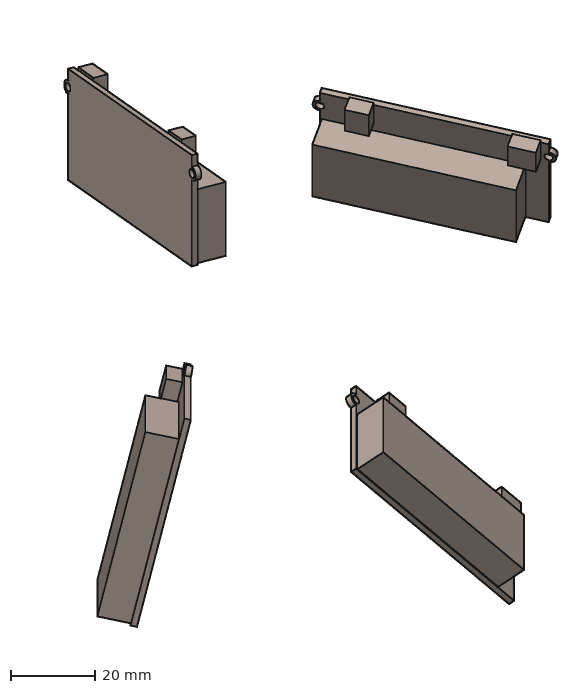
import cadquery as cq

board_width = 56.6
board_height = 29.2
board_thickness = 1.6

ear_diameter = 3.6
hole_diameter = 2.2
ear_drop = 4.83

housing_left_inset = 5.7
housing_right_inset = 0.5
housing_bottom_inset = 0.2
housing_height = 19.4
housing_depth = 8.2

connector_overhang = 0.8
connector_depth = 4.0
left_connector_width = 7.0
left_connector_height = 7.1
left_connector_inset = 2.0
right_connector_width = 6.0
right_connector_height = 7.8
right_connector_inset = 7.3

board_right = board_width / 2
board_left = -board_right
ear_z = board_height - ear_drop
connector_top = board_height + connector_overhang


def block(left, right, bottom, top, front, back):
    """Box between the given X, Z and Y limits."""
    return cq.Workplane("XY").box(
        right - left, back - front, top - bottom, centered=False
    ).translate((left, front, bottom))


def y_cylinder(diameter, x, z, front, back):
    """Cylinder along Y, centred at the given X and Z."""
    return (
        cq.Workplane("XZ", origin=(x, front, z))
        .circle(diameter / 2)
        .extrude(front - back)
    )


def make_board():
    """Board with two pierced ears, flush with both of its faces."""
    board = block(board_left, board_right, 0, board_height, -board_thickness, 0)
    for ear_x in (board_left, board_right):
        board = board.union(y_cylinder(ear_diameter, ear_x, ear_z, -board_thickness, 0))
        board = board.cut(y_cylinder(hole_diameter, ear_x, ear_z, -board_thickness, 0))
    return board


def make_housing():
    return block(
        board_left + housing_left_inset,
        board_right - housing_right_inset,
        housing_bottom_inset,
        housing_bottom_inset + housing_height,
        0,
        housing_depth,
    )


def make_connector(left, width, height):
    return block(left, left + width, connector_top - height, connector_top, 0, connector_depth)


left_connector = make_connector(
    board_left + left_connector_inset, left_connector_width, left_connector_height
)
right_connector = make_connector(
    board_right - right_connector_inset - right_connector_width,
    right_connector_width,
    right_connector_height,
)

result = make_board().union(make_housing()).union(left_connector).union(right_connector)